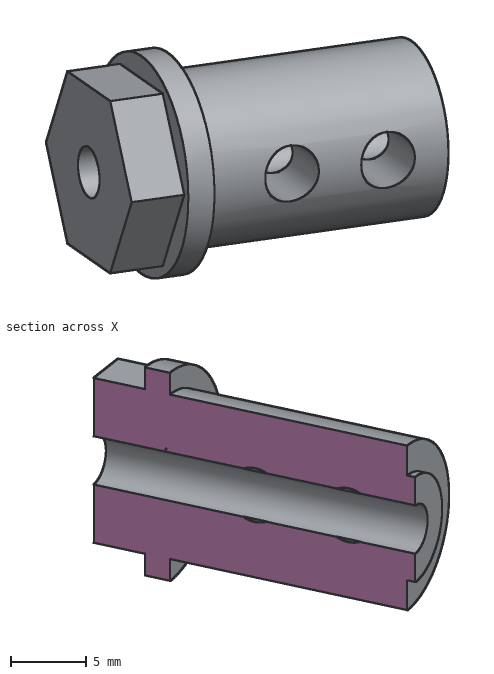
import cadquery as cq
import math

total_length = 24.13
hex_height = 3.84
flange_thickness = 1.9
boss_height = 0.6
body_length = total_length - hex_height - flange_thickness - boss_height

flange_diameter = 15.25
body_diameter = 12.06
boss_diameter = 7.7
bore_diameter = 3.5
side_hole_diameter = 3.9

hex_corner_diameter = body_diameter / math.cos(math.pi / 6)

side_hole_spacing = 7.0
last_hole_from_shoulder = 4.42

flange_start = hex_height
body_start = flange_start + flange_thickness
body_end = body_start + body_length


def plane_at(y):
    """Plane across the part axis at distance y, facing +Y."""
    return cq.Workplane(cq.Plane(origin=(0, y, 0), xDir=(1, 0, 0), normal=(0, 1, 0)))


def disc(y, diameter, length):
    return plane_at(y).circle(diameter / 2).extrude(length)


def side_hole(y):
    """Radial cutter from the part axis out through the +X side."""
    plane = cq.Plane(origin=(0, y, 0), xDir=(0, 1, 0), normal=(1, 0, 0))
    return cq.Workplane(plane).circle(side_hole_diameter / 2).extrude(body_diameter)


hex_head = plane_at(0).polygon(6, hex_corner_diameter).extrude(hex_height)
flange = disc(flange_start, flange_diameter, flange_thickness)
body = disc(body_start, body_diameter, body_length)
boss = disc(body_end, boss_diameter, boss_height)
result = hex_head.union(flange).union(body).union(boss)

result = result.cut(disc(0, bore_diameter, total_length))

last_hole_y = body_end - last_hole_from_shoulder
for hole_y in (last_hole_y - side_hole_spacing, last_hole_y):
    result = result.cut(side_hole(hole_y))